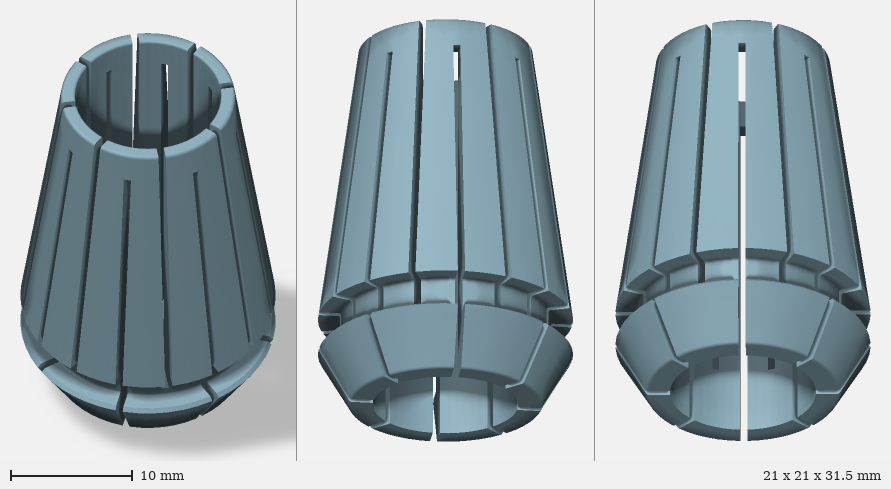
import cadquery as cq
import math

LENGTH = 31.5
MAX_RADIUS = 10.5
BORE_RADIUS = 6.0

NOSE_HALF_ANGLE = 30.0
NOSE_CONE_HEIGHT = 4.5
FLANGE_CHAMFER = 0.3
NOSE_END_FILLET = 0.3
NOSE_TOP = NOSE_CONE_HEIGHT + FLANGE_CHAMFER

GROOVE_WIDTH = 2.8
GROOVE_RADIUS = 8.7
GROOVE_FILLET = 0.2
BODY_BOTTOM = NOSE_TOP + GROOVE_WIDTH

BODY_HALF_ANGLE = 8.0
TOP_OUTER_FILLET = 0.3
TOP_BORE_FILLET = 0.2

SLOTS_PER_END = 8
SLOT_PITCH = 360.0 / SLOTS_PER_END
SLOT_WIDTH = 0.6
NOSE_SLOT_TOP = 29.0
BODY_SLOT_BOTTOM = 5.5
BLADE_LENGTH = 3 * MAX_RADIUS

MATCH_TOLERANCE = 1e-4


def round_circle(body, circle_radius, height, fillet_radius):
    """Fillet the circular edge of the given radius lying at the given height."""
    circles = body.edges("%CIRCLE").filter(
        lambda edge: math.isclose(edge.radius(), circle_radius, abs_tol=MATCH_TOLERANCE)
        and math.isclose(edge.Center().z, height, abs_tol=MATCH_TOLERANCE)
    )
    return circles.fillet(fillet_radius)


def make_body():
    """Revolve the half section around Z, then round its circular edges."""
    nose_end_radius = MAX_RADIUS - NOSE_CONE_HEIGHT * math.tan(math.radians(NOSE_HALF_ANGLE))
    top_radius = MAX_RADIUS - (LENGTH - BODY_BOTTOM) * math.tan(math.radians(BODY_HALF_ANGLE))

    section = (
        cq.Workplane("XZ")
        .moveTo(BORE_RADIUS, 0)
        .lineTo(nose_end_radius, 0)
        .lineTo(MAX_RADIUS, NOSE_CONE_HEIGHT)
        .lineTo(MAX_RADIUS - FLANGE_CHAMFER, NOSE_TOP)
        .lineTo(GROOVE_RADIUS, NOSE_TOP)
        .lineTo(GROOVE_RADIUS, BODY_BOTTOM)
        .lineTo(MAX_RADIUS, BODY_BOTTOM)
        .lineTo(top_radius, LENGTH)
        .lineTo(BORE_RADIUS, LENGTH)
        .close()
    )
    body = section.revolve(360, (0, 0, 0), (0, 1, 0))
    body = round_circle(body, GROOVE_RADIUS, NOSE_TOP, GROOVE_FILLET)
    body = round_circle(body, GROOVE_RADIUS, BODY_BOTTOM, GROOVE_FILLET)
    body = round_circle(body, nose_end_radius, 0, NOSE_END_FILLET)
    body = round_circle(body, top_radius, LENGTH, TOP_OUTER_FILLET)
    return round_circle(body, BORE_RADIUS, LENGTH, TOP_BORE_FILLET)


def cut_slots(body, first_angle, bottom, top):
    """Cut a ring of radial slots through the wall between two heights."""
    blade = (
        cq.Workplane("XY")
        .workplane(offset=bottom)
        .rect(BLADE_LENGTH, SLOT_WIDTH)
        .extrude(top - bottom)
    )
    for index in range(SLOTS_PER_END // 2):
        angle = first_angle + index * SLOT_PITCH
        body = body.cut(blade.rotate((0, 0, 0), (0, 0, 1), angle))
    return body


result = make_body()
result = cut_slots(result, 0, 0, NOSE_SLOT_TOP)
result = cut_slots(result, SLOT_PITCH / 2, BODY_SLOT_BOTTOM, LENGTH)